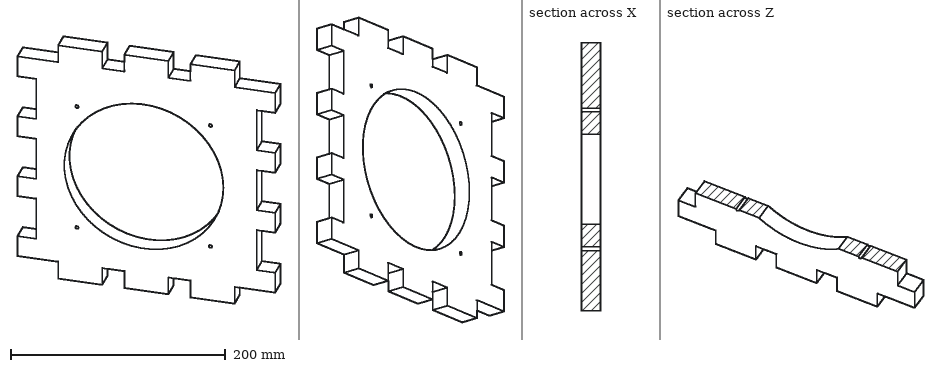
import cadquery as cq

outer_size = 250.0
thickness = 18.0
bore_diameter = 154.2
bore_offset = -2.5
screw_hole_diameter = 3.0
screw_hole_spacing = 129.5

body_size = outer_size - 2 * thickness
pitch = body_size / 10
wide_finger = 2 * pitch
finger_spacing = 3 * pitch


def plate_box(width, height, x=0, z=0):
    """Full-thickness block centred at (x, z)."""
    return cq.Workplane("XY").box(width, thickness, height).translate((x, 0, z))


def through_holes(diameter, centres):
    """Cylinders along Y that pass through the plate."""
    return (
        cq.Workplane("XZ", origin=(0, thickness / 2, 0))
        .pushPoints(centres)
        .circle(diameter / 2)
        .extrude(thickness)
    )


plate = plate_box(body_size, body_size)

for i in (-1, 0, 1):
    plate = plate.union(plate_box(wide_finger, outer_size, x=i * finger_spacing))

for i in (-1.5, -0.5, 0.5, 1.5):
    plate = plate.union(plate_box(outer_size, pitch, z=i * finger_spacing))

bore_centre = (bore_offset, bore_offset)
screw_centres = [
    (bore_offset + sx * screw_hole_spacing / 2, bore_offset + sz * screw_hole_spacing / 2)
    for sx in (-1, 1)
    for sz in (-1, 1)
]
plate = plate.cut(through_holes(bore_diameter, [bore_centre]))
result = plate.cut(through_holes(screw_hole_diameter, screw_centres))